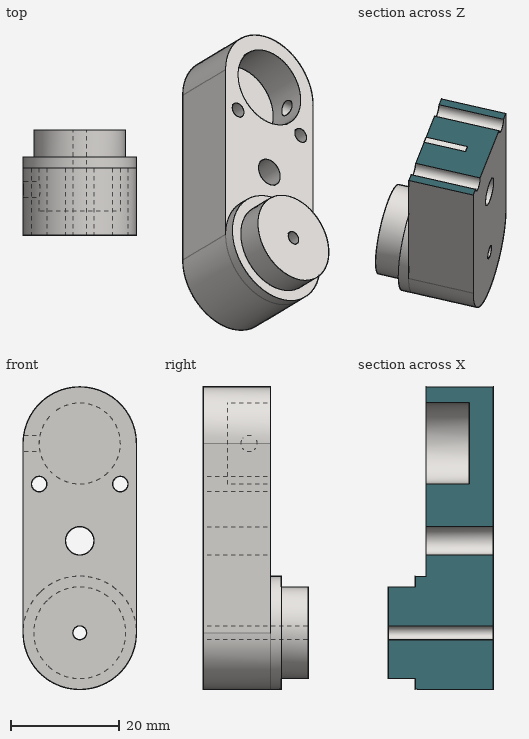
import cadquery as cq

arm_width = 21.0
arm_length = 56.0
arm_thickness = 12.5
end_radius = arm_width / 2
end_offset = arm_length / 2 - end_radius

flange_height = 2.0
spigot_diameter = 17.0
spigot_height = 5.0
boss_back = arm_thickness + flange_height + spigot_height

pivot_hole_diameter = 2.5
centre_hole_diameter = 5.2
centre_hole_rise = 17.0
pair_hole_diameter = 2.8
pair_hole_spacing = 15.0
pair_hole_height = 10.0

socket_diameter = 15.0

cross_hole_diameter = 3.0
cross_hole_from_back = 4.0
cross_hole_depth = arm_width / 2
socket_depth = 2 * cross_hole_from_back


def cylinder_along_y(diameter, x, z, y_start, length):
    """Cylinder that starts at y_start and extends toward +Y."""
    start = cq.Vector(x, y_start, z)
    return cq.Workplane(cq.Solid.makeCylinder(diameter / 2, length, start, cq.Vector(0, 1, 0)))


def make_arm():
    profile = cq.Workplane("XZ").slot2D(arm_length, arm_width, 90)
    return profile.extrude(-arm_thickness)


def add_boss(body):
    flange = cylinder_along_y(arm_width, 0, -end_offset, arm_thickness, flange_height)
    spigot_start = arm_thickness + flange_height
    spigot = cylinder_along_y(spigot_diameter, 0, -end_offset, spigot_start, spigot_height)
    return body.union(flange).union(spigot).clean()


def cut_socket(body):
    floor = arm_thickness - socket_depth
    return body.cut(cylinder_along_y(socket_diameter, 0, end_offset, floor, socket_depth))


def cut_front_holes(body):
    holes = [
        (pivot_hole_diameter, 0, -end_offset),
        (centre_hole_diameter, 0, centre_hole_rise - end_offset),
        (pair_hole_diameter, -pair_hole_spacing / 2, pair_hole_height),
        (pair_hole_diameter, pair_hole_spacing / 2, pair_hole_height),
    ]
    for diameter, x, z in holes:
        body = body.cut(cylinder_along_y(diameter, x, z, 0, boss_back))
    return body


def cut_cross_hole(body):
    start = cq.Vector(-arm_width / 2, arm_thickness - cross_hole_from_back, end_offset)
    axis = cq.Vector(1, 0, 0)
    hole = cq.Solid.makeCylinder(cross_hole_diameter / 2, cross_hole_depth, start, axis)
    return body.cut(cq.Workplane(hole))


result = make_arm()
result = add_boss(result)
result = cut_socket(result)
result = cut_front_holes(result)
result = cut_cross_hole(result)